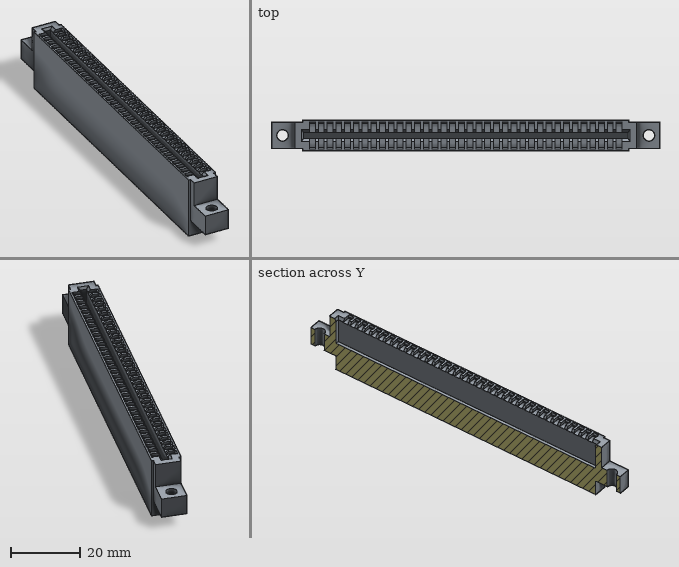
import cadquery as cq

body_length = 94.5
body_width = 8.9
height = 19.0

overall_length = 112.5
shoulder_length = 99.0
ear_width = 7.7
ear_top = 11.4
ear_bottom = 5.1
hole_diameter = 3.3
hole_edge_distance = 3.2

slot_length = 94.1
slot_width = 1.8
slot_depth = 9.0
lead_in_end_width = 0.6
lead_in_side_width = 0.8
lead_in_depth = 0.8

pocket_count = 36
pocket_row_span = 88.9
pocket_pitch = pocket_row_span / (pocket_count - 1)
pocket_width = 1.7
pocket_outer_wall = 0.6
pocket_reach = body_width / 2 - pocket_outer_wall
pocket_depth = 0.96
pocket_taper_width = 0.5
pocket_taper_depth = 0.5


def centred_block(length, width, bottom, top):
    """Block centred on the Z axis, between two heights."""
    return (
        cq.Workplane("XY")
        .workplane(offset=bottom)
        .rect(length, width)
        .extrude(top - bottom)
    )


def make_housing():
    """Body with the shoulders and drilled mounting ears at both ends."""
    body = centred_block(body_length, body_width, 0, height)
    shoulders = centred_block(shoulder_length, ear_width, ear_bottom, height)
    ears = centred_block(overall_length, ear_width, ear_bottom, ear_top)
    hole_x = overall_length / 2 - hole_edge_distance
    holes = (
        cq.Workplane("XY")
        .pushPoints([(-hole_x, 0), (hole_x, 0)])
        .circle(hole_diameter / 2)
        .extrude(height)
    )
    return body.union(shoulders).union(ears).cut(holes)


def make_card_slot():
    """Blind slot plus the frustum that widens its mouth."""
    slot = centred_block(slot_length, slot_width, height - slot_depth, height)
    mouth_length = slot_length + 2 * lead_in_end_width
    mouth_width = slot_width + 2 * lead_in_side_width
    lead_in = (
        cq.Workplane("XY")
        .workplane(offset=height - lead_in_depth)
        .rect(slot_length, slot_width)
        .workplane(offset=lead_in_depth)
        .rect(mouth_length, mouth_width)
        .loft(ruled=True)
    )
    return slot.union(lead_in)


def make_pocket(x):
    """Pocket pair at one contact position, spanning the slot, with flared outer ends."""
    inner_reach = pocket_reach - pocket_taper_width
    floor = height - pocket_depth
    taper_start = height - pocket_taper_depth
    return (
        cq.Workplane("YZ")
        .workplane(offset=x - pocket_width / 2)
        .polyline([
            (-inner_reach, floor),
            (inner_reach, floor),
            (inner_reach, taper_start),
            (pocket_reach, height),
            (-pocket_reach, height),
            (-inner_reach, taper_start),
        ])
        .close()
        .extrude(pocket_width)
    )


result = make_housing().cut(make_card_slot())
for index in range(pocket_count):
    pocket_x = index * pocket_pitch - pocket_row_span / 2
    result = result.cut(make_pocket(pocket_x))